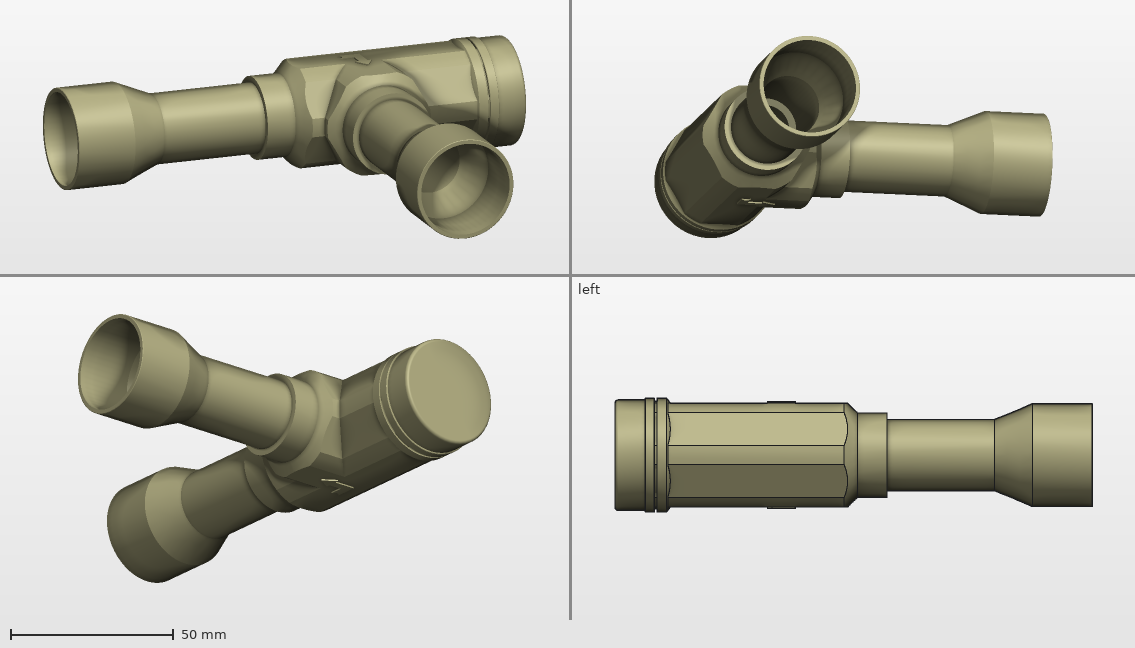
import cadquery as cq
import math


HEX_ACROSS_FLATS = 32.0
CORNER_DIAMETER = 34.0
RUN_SHOULDER = 20.8
RUN_CONE_LENGTH = 4.1
BRANCH_SHOULDER = 19.6
BRANCH_CONE_LENGTH = 2.5

RUN_REACH = 97.0
BRANCH_REACH = 94.0
COLLAR_DIAMETER = 26.0
NECK_DIAMETER = 22.0
SOCKET_DIAMETER = 31.6
NECK_BORE = 19.0
SOCKET_BORE = 29.0
COLLAR_TO_END = 63.0
FLARE_TO_END = 30.0
SOCKET_LENGTH = 18.5
RIM_CHAMFER = 0.1
PASSAGE_DIAMETER = 14.6
PASSAGE_DEPTH = 14.6

CAP_END = 49.5
CAP_DIAMETER = 34.0
CAP_LENGTH = 9.2
CAP_FILLET = 1.0
RING_DIAMETER = 35.0
RING_WIDTH = 3.0
RING_CHAMFER = 0.1
GROOVE_WIDTH = 0.7
GROOVE_DIAMETER = 33.1
RING_CONE_LENGTH = 1.2

ARROW_HEIGHT = 0.5
ARROW_STROKE = 2.8
ARROW_TIP = 10.3
ARROW_HEAD_START = 5.9
ARROW_HEAD_WIDTH = 5.5
ARROW_TAIL = 5.9
ARROW_TAIL_HOLLOW = 1.0


def turned(profile):
    """Revolve (distance along X, radius) points, closed along the X axis."""
    start = (profile[0][0], 0)
    end = (profile[-1][0], 0)
    outline = cq.Workplane("XY").polyline([start] + profile + [end]).close()
    return outline.revolve(360, (0, 0, 0), (1, 0, 0))


def onto_run(shape):
    """Turn a shape built along +X so that it points along -Y."""
    return shape.rotate((0, 0, 0), (0, 0, 1), -90)


def hex_bar(start, shoulder, cone_length):
    """Hexagonal bar along X, flats facing up and down, ending in a cone to the collar."""
    end = shoulder + cone_length
    across_corners = HEX_ACROSS_FLATS / math.cos(math.pi / 6)
    prism = cq.Workplane("YZ", origin=(start, 0, 0)).polygon(6, across_corners).extrude(end - start)
    envelope = turned([
        (start, CORNER_DIAMETER / 2),
        (shoulder, CORNER_DIAMETER / 2),
        (end, COLLAR_DIAMETER / 2),
    ])
    return prism.intersect(envelope)


def pipe_stub(reach):
    """Solid collar, neck, flare and socket along +X."""
    collar_face = reach - COLLAR_TO_END
    return turned([
        (0, COLLAR_DIAMETER / 2),
        (collar_face, COLLAR_DIAMETER / 2),
        (collar_face, NECK_DIAMETER / 2),
        (reach - FLARE_TO_END, NECK_DIAMETER / 2),
        (reach - SOCKET_LENGTH, SOCKET_DIAMETER / 2),
        (reach - RIM_CHAMFER, SOCKET_DIAMETER / 2),
        (reach, SOCKET_DIAMETER / 2 - RIM_CHAMFER),
    ])


def pipe_bore(reach, passage_start):
    """Inside of a pipe stub, with the narrower passage leading into the body."""
    neck_radius = NECK_BORE / 2
    socket_radius = SOCKET_BORE / 2
    collar_face = reach - COLLAR_TO_END
    return turned([
        (passage_start, PASSAGE_DIAMETER / 2),
        (collar_face, PASSAGE_DIAMETER / 2),
        (collar_face, neck_radius),
        (reach - FLARE_TO_END, neck_radius),
        (reach - SOCKET_LENGTH, socket_radius),
        (reach, socket_radius),
    ])


def cap():
    """Cap with two rings and a groove between them; its outer face is at -X."""
    outer_face = -CAP_END
    first_ring = outer_face + CAP_LENGTH
    groove = first_ring + RING_WIDTH
    second_ring = groove + GROOVE_WIDTH
    ring_end = second_ring + RING_WIDTH
    blank = turned([
        (outer_face, CAP_DIAMETER / 2),
        (first_ring, CAP_DIAMETER / 2),
        (first_ring, RING_DIAMETER / 2 - RING_CHAMFER),
        (first_ring + RING_CHAMFER, RING_DIAMETER / 2),
        (groove - RING_CHAMFER, RING_DIAMETER / 2),
        (groove, RING_DIAMETER / 2 - RING_CHAMFER),
        (groove, GROOVE_DIAMETER / 2),
        (second_ring, GROOVE_DIAMETER / 2),
        (second_ring, RING_DIAMETER / 2),
        (ring_end, RING_DIAMETER / 2),
        (ring_end + RING_CONE_LENGTH, HEX_ACROSS_FLATS / 2),
    ])
    return blank.faces("<X").edges().fillet(CAP_FILLET)


def flow_arrow():
    """Bent arrow from the run into the branch, standing proud of both flats."""
    half_stroke = ARROW_STROKE / 2
    half_head = ARROW_HEAD_WIDTH / 2
    return (
        cq.Workplane("XY")
        .moveTo(-half_stroke, -ARROW_TAIL)
        .lineTo(-half_stroke, half_stroke)
        .lineTo(ARROW_HEAD_START, half_stroke)
        .lineTo(ARROW_HEAD_START, half_head)
        .lineTo(ARROW_TIP, 0)
        .lineTo(ARROW_HEAD_START, -half_head)
        .lineTo(ARROW_HEAD_START, -half_stroke)
        .lineTo(half_stroke, -half_stroke)
        .lineTo(half_stroke, -ARROW_TAIL)
        .threePointArc((0, -ARROW_TAIL + ARROW_TAIL_HOLLOW), (-half_stroke, -ARROW_TAIL))
        .close()
        .extrude(HEX_ACROSS_FLATS / 2 + ARROW_HEIGHT, both=True)
    )


run = cap().union(hex_bar(-CAP_END + CAP_LENGTH, RUN_SHOULDER, RUN_CONE_LENGTH)).union(pipe_stub(RUN_REACH))
branch = hex_bar(0, BRANCH_SHOULDER, BRANCH_CONE_LENGTH).union(pipe_stub(BRANCH_REACH))

result = (
    onto_run(run)
    .union(branch)
    .union(flow_arrow())
    .cut(onto_run(pipe_bore(RUN_REACH, -PASSAGE_DEPTH)))
    .cut(pipe_bore(BRANCH_REACH, 0))
)